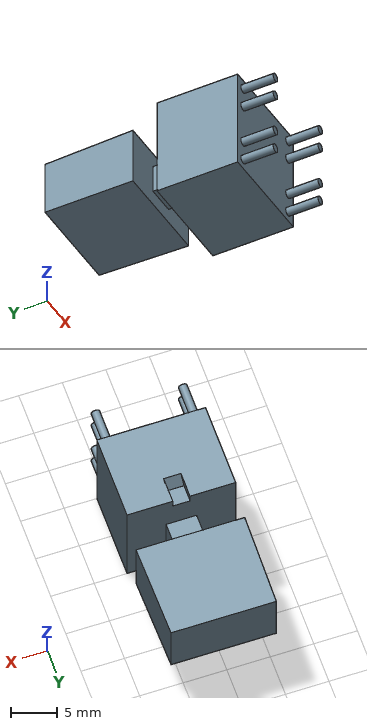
import cadquery as cq
import math

total_length = 28.0
body_size = 12.5
body_length = 10.0
pin_length = 4.0
pin_diameter = 1.0
pin_outer = 5.0
pin_inner = pin_outer / 2

stem_size = 3.5
stem_length = 3.0

cap_width = body_size
cap_height = 7.2
cap_length = total_length - pin_length - body_length - stem_length
cap_draft_angle = 1.0

notch_width = 2.0
notch_depth = 1.0
notch_floor_length = 2 * notch_depth
notch_length = notch_floor_length + notch_depth


def block(width, height, start, length):
    """Box centred on the Y axis, reaching from start towards +Y."""
    return cq.Workplane("XY").box(width, length, height).translate((0, start + length / 2, 0))


def make_cap(start):
    """Rectangular button that tapers towards its +Y end."""
    inset = 2 * cap_length * math.tan(math.radians(cap_draft_angle))
    return (
        cq.Workplane("XZ", origin=(0, start, 0))
        .rect(cap_width, cap_height)
        .workplane(offset=-cap_length)
        .rect(cap_width - inset, cap_height - inset)
        .loft(ruled=True)
    )


def make_notch():
    """Cutter for the top notch: flat floor at the stem end, ramp at the other."""
    top = body_size / 2
    floor = top - notch_depth
    return (
        cq.Workplane("YZ")
        .moveTo(body_length, top)
        .lineTo(body_length, floor)
        .lineTo(body_length - notch_floor_length, floor)
        .lineTo(body_length - notch_length, top)
        .close()
        .extrude(notch_width / 2, both=True)
    )


def make_pins():
    """Two columns of four round pins on the -Y face of the body."""
    places = [
        (x, z)
        for x in (-pin_outer, pin_outer)
        for z in (-pin_outer, -pin_inner, pin_inner, pin_outer)
    ]
    return cq.Workplane("XZ").pushPoints(places).circle(pin_diameter / 2).extrude(pin_length)


stem_end = body_length + stem_length

body = block(body_size, body_size, 0, body_length).cut(make_notch())
stem = block(stem_size, stem_size, body_length, stem_length)

result = body.union(stem).union(make_cap(stem_end)).union(make_pins())